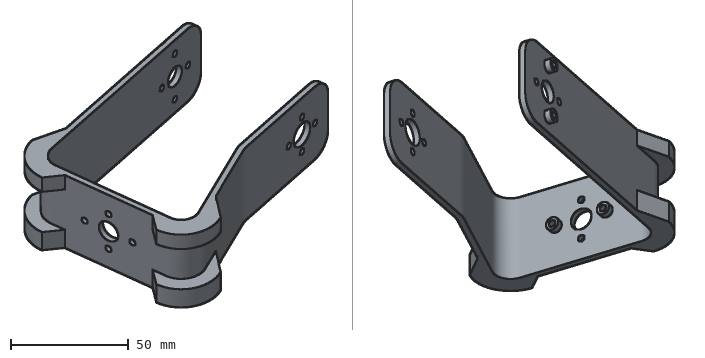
import cadquery as cq
import math

wall = 3.0
width = 40.0
leg_top = 120.0
leg_corner_radius = 10.0
right_leg_x = 69.6
lean = math.radians(15)
kink_radius = 11.0

bend_radius = 11.0
lug_radius = 18.0
left_bend = (bend_radius, bend_radius)
right_bend = (71.0, bend_radius)
lug_depth = lug_radius - bend_radius
lug_top = 25.9
top_lug_width = 7.9
bottom_lug_width = 10.0

base_center_x = 40.9
leg_hole_y = leg_top - 19
center_hole = 10.0
right_center_hole = 12.0
screw_hole = 3.0
near_offset = 9.5
boss_offset = 12.51
boss_diameter = 6.0
boss_height = 3.0


def on_circle(center, radius, angle):
    """Point on a circle at an angle in radians from +X."""
    return (center[0] + radius * math.cos(angle), center[1] + radius * math.sin(angle))


def leaning_x(y):
    """X on the leaning outer face of the right leg."""
    start = on_circle(right_bend, bend_radius, lean)
    return start[0] - (y - start[1]) * math.tan(lean)


def bracket_region(inset):
    """Solid bounded by the bracket's outer faces moved inward by inset."""
    radius = bend_radius - inset
    leg_x = right_leg_x - inset
    slant_start = on_circle(right_bend, radius, lean)
    fold_radius = kink_radius + inset
    kink_y = slant_start[1] + (slant_start[0] - leg_x) / math.tan(lean)
    kink_end = (leg_x, kink_y + fold_radius * math.tan(lean / 2))
    fold_center = (leg_x + fold_radius, kink_end[1])
    kink_start = on_circle(fold_center, fold_radius, math.pi + lean)
    kink_middle = on_circle(fold_center, fold_radius, math.pi + lean / 2)
    return (
        cq.Workplane("XY", origin=(0, 0, -width / 2))
        .moveTo(inset, leg_top)
        .lineTo(inset, left_bend[1])
        .threePointArc(on_circle(left_bend, radius, math.radians(225)), (left_bend[0], inset))
        .lineTo(right_bend[0], inset)
        .threePointArc(on_circle(right_bend, radius, (lean - math.pi / 2) / 2), slant_start)
        .lineTo(*kink_start)
        .threePointArc(kink_middle, kink_end)
        .lineTo(leg_x, leg_top)
        .close()
        .extrude(width)
    )


def lugs(bottom_z, height):
    """Left and right corner lugs; their inner sides reach into the bracket region."""
    plane = cq.Workplane("XY", origin=(0, 0, bottom_z))
    left = (
        plane.moveTo(0, lug_top)
        .lineTo(-lug_depth, left_bend[1])
        .threePointArc(
            on_circle(left_bend, lug_radius, math.radians(225)), (left_bend[0], -lug_depth)
        )
        .lineTo(left_bend[0] + lug_depth, 0)
        .lineTo(*left_bend)
        .close()
        .extrude(height)
    )
    right = (
        plane.moveTo(right_bend[0] - lug_depth, 0)
        .lineTo(right_bend[0], -lug_depth)
        .threePointArc(
            on_circle(right_bend, lug_radius, (lean - math.pi / 2) / 2),
            on_circle(right_bend, lug_radius, lean),
        )
        .lineTo(leaning_x(lug_top), lug_top)
        .lineTo(*right_bend)
        .close()
        .extrude(height)
    )
    return left.union(right)


def pattern(plane, diameter, points, start, length):
    """Cylinders along the plane normal, starting at a distance from the plane."""
    return plane.workplane(offset=start).pushPoints(points).circle(diameter / 2).extrude(length)


body = bracket_region(0)
body = body.union(lugs(width / 2 - top_lug_width, top_lug_width))
body = body.union(lugs(-width / 2, bottom_lug_width))
body = body.cut(bracket_region(wall))

body = body.faces(">Y").edges("|X").fillet(leg_corner_radius)

base_plane = cq.Workplane(cq.Plane((base_center_x, 0, 0), (1, 0, 0), (0, 1, 0)))
left_plane = cq.Workplane("YZ", origin=(0, leg_hole_y, 0))
right_plane = cq.Workplane("YZ", origin=(right_leg_x, leg_hole_y, 0))

along = [(-1, 0), (1, 0)]
across = [(0, -1), (0, 1)]


def spaced(directions, distance):
    """Hole centers at one distance along each unit direction."""
    return [(u * distance, v * distance) for u, v in directions]


base_bosses = spaced(along, boss_offset)
leg_bosses = spaced(across, boss_offset)
body = body.union(pattern(base_plane, boss_diameter, base_bosses, 0, wall + boss_height))
body = body.union(pattern(left_plane, boss_diameter, leg_bosses, -boss_height, boss_height + wall))

drill_start = -wall - boss_height
drill_length = 2 * (wall + boss_height)
screw_patterns = [
    (base_plane, center_hole, base_bosses + spaced(across, near_offset)),
    (left_plane, center_hole, leg_bosses + spaced(along, near_offset)),
    (right_plane, right_center_hole, spaced(along + across, near_offset)),
]
for plane, center_diameter, screw_points in screw_patterns:
    body = body.cut(pattern(plane, center_diameter, [(0, 0)], drill_start, drill_length))
    body = body.cut(pattern(plane, screw_hole, screw_points, drill_start, drill_length))

result = body